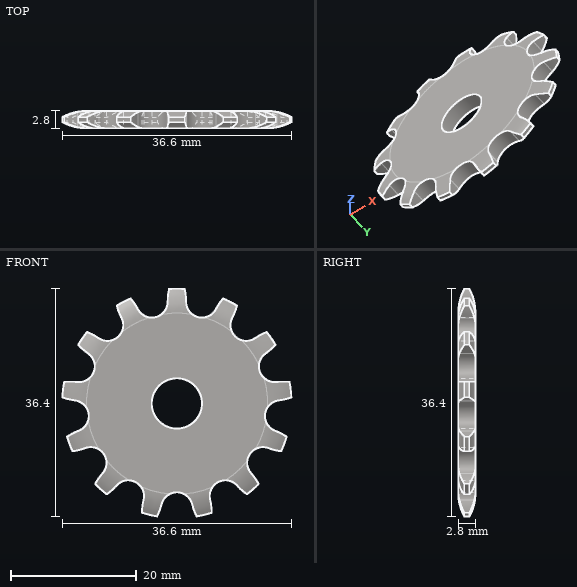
import cadquery as cq
import math

TEETH = 13
CHAIN_PITCH = 8.0
SEAT_RADIUS = 2.5
FLANK_RADIUS = 9.0
TIP_RADIUS = 18.35
THICKNESS = 2.8
BORE_DIAMETER = 8.0
CROWN_RADIUS = 8.0
CROWN_DEPTH = 1.0
CUTTER_CLEARANCE = 1.0

STEP_ANGLE = 360.0 / TEETH
HALF_STEP = math.radians(STEP_ANGLE / 2)
PITCH_RADIUS = CHAIN_PITCH / (2 * math.sin(HALF_STEP))
HALF_THICKNESS = THICKNESS / 2
TIP_HALF_WIDTH = HALF_THICKNESS - CROWN_DEPTH
CROWN_LENGTH = math.sqrt(CROWN_RADIUS**2 - (CROWN_RADIUS - CROWN_DEPTH) ** 2)
FACE_RADIUS = TIP_RADIUS - CROWN_LENGTH


def crown_point(angle):
    """Point (radius, Y) on the crown arc, at an angle from its tangent point on the flat face."""
    radius = FACE_RADIUS + CROWN_RADIUS * math.sin(angle)
    return radius, HALF_THICKNESS - CROWN_RADIUS * (1 - math.cos(angle))


def make_blank():
    """Disc turned about Y, with a rounded crown on both sides of its rim and a plain bore."""
    bore_radius = BORE_DIAMETER / 2
    crown_angle = math.asin(CROWN_LENGTH / CROWN_RADIUS)
    mid_radius, mid_y = crown_point(crown_angle / 2)
    return (
        cq.Workplane("XY")
        .moveTo(bore_radius, -HALF_THICKNESS)
        .lineTo(FACE_RADIUS, -HALF_THICKNESS)
        .threePointArc((mid_radius, -mid_y), (TIP_RADIUS, -TIP_HALF_WIDTH))
        .lineTo(TIP_RADIUS, TIP_HALF_WIDTH)
        .threePointArc((mid_radius, mid_y), (FACE_RADIUS, HALF_THICKNESS))
        .lineTo(bore_radius, HALF_THICKNESS)
        .close()
        .revolve(360, (0, 0, 0), (0, 1, 0))
    )


def rotated(point, angle):
    """Turn an (X, Z) point about the sprocket axis, from +Z towards +X."""
    x, z = point
    return (
        x * math.cos(angle) + z * math.sin(angle),
        z * math.cos(angle) - x * math.sin(angle),
    )


def make_gap_cutter():
    """Space between the tooth on +Z and the next one: a roller seat that opens along two flanks."""
    seat_center = (PITCH_RADIUS * math.sin(HALF_STEP), PITCH_RADIUS * math.cos(HALF_STEP))
    flank_start = (seat_center[0] - SEAT_RADIUS, seat_center[1])
    flank_center_x = flank_start[0] - FLANK_RADIUS

    def flank_point(height):
        x = flank_center_x + math.sqrt(FLANK_RADIUS**2 - height**2)
        return x, flank_start[1] + height

    flank_height = TIP_RADIUS + CUTTER_CLEARANCE - flank_start[1]
    flank_mid = flank_point(flank_height / 2)
    flank_end = flank_point(flank_height)
    root_radius = PITCH_RADIUS - SEAT_RADIUS
    root = (root_radius * math.sin(HALF_STEP), root_radius * math.cos(HALF_STEP))

    def mirrored(point):
        """Reflect a point across the centreline of the gap."""
        x, z = rotated(point, -HALF_STEP)
        return rotated((-x, z), HALF_STEP)

    return (
        cq.Workplane("XZ")
        .moveTo(*flank_end)
        .threePointArc(flank_mid, flank_start)
        .threePointArc(root, mirrored(flank_start))
        .threePointArc(mirrored(flank_mid), mirrored(flank_end))
        .close()
        .extrude(THICKNESS, both=True)
    )


def cut_teeth(blank):
    cutter = make_gap_cutter()
    sprocket = blank
    for index in range(TEETH):
        sprocket = sprocket.cut(cutter.rotate((0, 0, 0), (0, 1, 0), index * STEP_ANGLE))
    return sprocket


result = cut_teeth(make_blank())